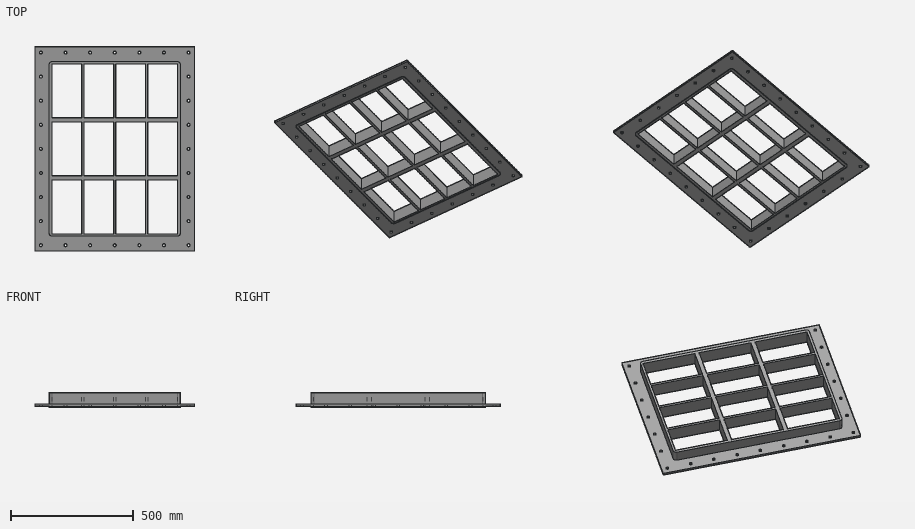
import cadquery as cq

flange_width = 652.0
flange_length = 834.0
flange_thickness = 10.0

frame_width = 535.5
frame_length = 712.0
frame_height = 60.0
frame_corner_radius = 12.5
projection_below = 3.0

columns = 4
rows = 3
side_wall = 12.5
end_wall = 10.0
column_bar = 10.0
row_bar = 18.0
opening_width = (frame_width - 2 * side_wall - (columns - 1) * column_bar) / columns
opening_length = (frame_length - 2 * end_wall - (rows - 1) * row_bar) / rows

hole_diameter = 11.0
hole_span_x = 602.0
hole_span_y = 786.0
holes_across = 7
holes_along = 9


def flange():
    plate = cq.Workplane("XY").box(
        flange_width, flange_length, flange_thickness, centered=(True, True, False)
    )
    return plate.translate((0, 0, projection_below))


def frame():
    block = cq.Workplane("XY").box(
        frame_width, frame_length, frame_height, centered=(True, True, False)
    )
    return block.edges("|Z").fillet(frame_corner_radius)


def grid_openings():
    return (
        cq.Workplane("XY")
        .rarray(opening_width + column_bar, opening_length + row_bar, columns, rows)
        .rect(opening_width, opening_length)
        .extrude(frame_height)
    )


def bolt_holes():
    """Cylinders in rows along all four flange edges, sharing the corner positions."""
    pitch_x = hole_span_x / (holes_across - 1)
    pitch_y = hole_span_y / (holes_along - 1)
    points = []
    for i in range(holes_across):
        for j in range(holes_along):
            if i in (0, holes_across - 1) or j in (0, holes_along - 1):
                points.append((i * pitch_x - hole_span_x / 2, j * pitch_y - hole_span_y / 2))
    return cq.Workplane("XY").pushPoints(points).circle(hole_diameter / 2).extrude(frame_height)


result = flange().union(frame()).cut(grid_openings()).cut(bolt_holes())